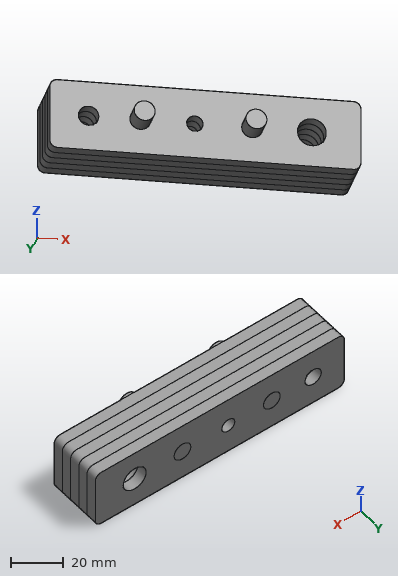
import cadquery as cq

plate_length = 120.0
plate_height = 28.0
plate_thickness = 5.0
plate_count = 5
corner_radius = 3.0
stack_depth = plate_count * plate_thickness

open_holes = [
    (-45.0, 7.8),
    (-4.1, 6.2),
    (41.0, 11.0),
]

pin_diameter = 8.0
pin_protrusion = 8.8
pin_positions = [-25.1, 18.0]
pin_length = pin_protrusion + stack_depth


def plane_facing_front(y):
    """XZ workplane at the given Y; its normal, and so each extrusion, points toward -Y."""
    return cq.Workplane("XZ", origin=(0, y, 0))


def make_plate(front):
    """Plate with rounded corners and its front face at Y = front, drilled for holes and pins."""
    back = front + plate_thickness
    plate = plane_facing_front(back).rect(plate_length, plate_height).extrude(plate_thickness)
    plate = plate.edges("|Y").fillet(corner_radius)
    pin_holes = [(x, pin_diameter) for x in pin_positions]
    for x, diameter in open_holes + pin_holes:
        drill = plane_facing_front(back).center(x, 0).circle(diameter / 2).extrude(plate_thickness)
        plate = plate.cut(drill)
    return plate


def make_pin(x):
    """Dowel pin whose rear end is flush with the back of the stack."""
    return plane_facing_front(stack_depth).center(x, 0).circle(pin_diameter / 2).extrude(pin_length)


plates = [make_plate(layer * plate_thickness) for layer in range(plate_count)]
pins = [make_pin(x) for x in pin_positions]

result = cq.Compound.makeCompound([body.solids().val() for body in plates + pins])